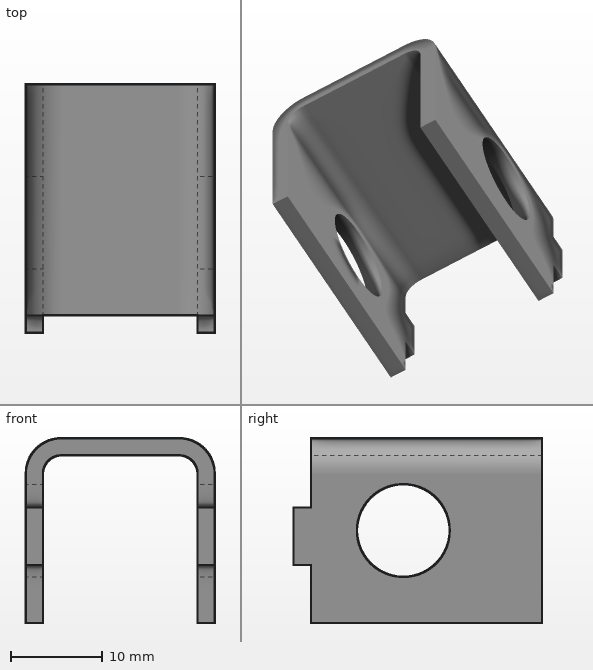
import cadquery as cq

length = 27.3
width = 20.78
height = 20.3
thickness = 1.9
outer_bend_radius = 3.93
inner_bend_radius = outer_bend_radius - thickness

tab_length = thickness
tab_height = 6.33
tab_bottom = 6.35
body_length = length - tab_length

hole_diameter = 10.15
hole_from_front = 10.15
hole_from_bottom = 10.15


def rounded_block(block_width, block_height, bend_radius):
    """Full-length block standing on Z = 0 with its two top edges rounded."""
    block = cq.Workplane("XY").box(block_width, body_length, block_height, centered=(True, False, False))
    return block.edges("|Y and >Z").fillet(bend_radius)


def make_channel():
    """Inverted U of constant thickness, open at the bottom and both ends."""
    outside = rounded_block(width, height, outer_bend_radius)
    inside = rounded_block(width - 2 * thickness, height - thickness, inner_bend_radius)
    return outside.cut(inside)


def make_tab(side):
    """Tab continuing one side wall forward of the front edge."""
    wall_center = side * (width - thickness) / 2
    return (
        cq.Workplane("XY")
        .box(thickness, tab_length, tab_height, centered=(True, False, False))
        .translate((wall_center, -tab_length, tab_bottom))
    )


def make_hole():
    """Cylinder along X that pierces both side walls."""
    return (
        cq.Workplane("YZ")
        .center(hole_from_front, hole_from_bottom)
        .circle(hole_diameter / 2)
        .extrude(width, both=True)
    )


result = make_channel()
for side in (-1, 1):
    result = result.union(make_tab(side))
result = result.cut(make_hole())